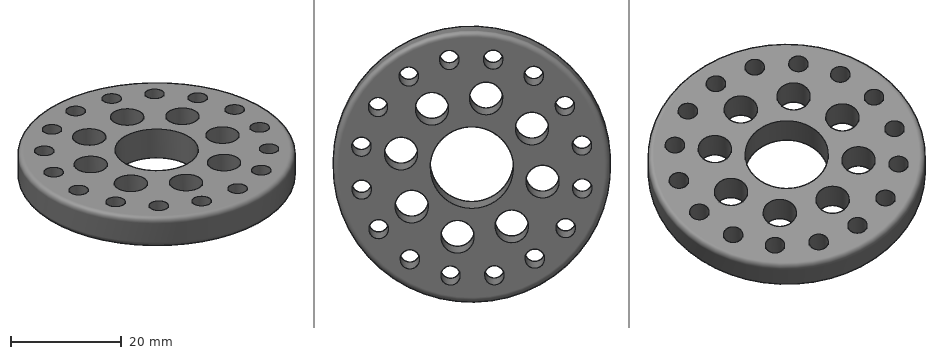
import cadquery as cq

disc_diameter = 50
disc_thickness = 6
rim_fillet = 1

bore_diameter = 15

inner_hole_count = 8
inner_hole_diameter = 6
inner_ring_radius = 13

outer_hole_count = 16
outer_hole_diameter = 3.5
outer_ring_radius = 20.25
outer_ring_turn = -0.5


def ring_of_holes(count, diameter, ring_radius, start_angle):
    """Cylinders that cut a ring of through holes in the disc."""
    return (
        cq.Workplane("XY")
        .polarArray(ring_radius, start_angle, 360, count)
        .circle(diameter / 2)
        .extrude(disc_thickness)
    )


disc = (
    cq.Workplane("XY")
    .circle(disc_diameter / 2)
    .extrude(disc_thickness)
    .edges("%CIRCLE")
    .fillet(rim_fillet)
)

bore = cq.Workplane("XY").circle(bore_diameter / 2).extrude(disc_thickness)
inner_holes = ring_of_holes(inner_hole_count, inner_hole_diameter, inner_ring_radius, 0)
outer_holes = ring_of_holes(outer_hole_count, outer_hole_diameter, outer_ring_radius, outer_ring_turn)

result = disc.cut(bore).cut(inner_holes).cut(outer_holes)